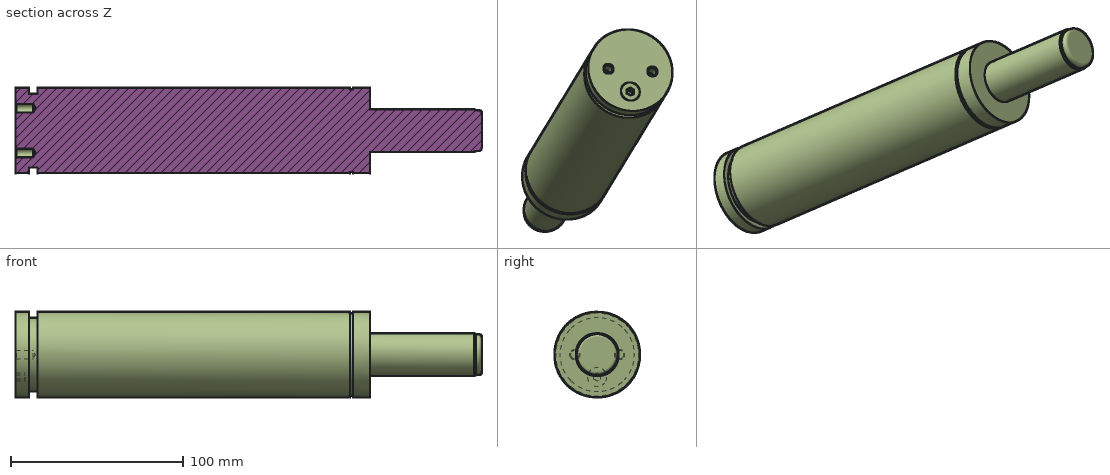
import cadquery as cq
import math

total_length = 271.2
base_flange_length = 8.0
base_groove_end = 12.7
collar_groove_start = 194.5
collar_groove_end = 196.0
body_length = 206.0
rod_shoulder = 267.7
shoulder_chamfer_length = 1.0

body_diameter = 50.0
base_groove_diameter = 43.0
collar_groove_depth = 0.8
rod_diameter = 25.0
rod_tip_diameter = 24.0
rod_tip_fillet = 2.0

mount_hole_spacing = 26.0
mount_hole_diameter = 5.0
mount_hole_mouth_diameter = 6.0
mount_hole_depth = 10.0
drill_point_angle = 118.0
port_offset = 13.0
port_recess_diameter = 11.0
port_recess_depth = 0.3
socket_width = 4.0
socket_depth = 5.5


def cylinder(start, end, diameter, y=0, z=0):
    """Cylinder parallel to X between two X positions."""
    return cq.Workplane("YZ", origin=(start, y, z)).circle(diameter / 2).extrude(end - start)


def groove(start, end, floor_diameter):
    """Ring that cuts a groove into the body."""
    return cylinder(start, end, body_diameter).cut(cylinder(start, end, floor_diameter))


def body():
    """Cylinder tube with the base groove and the narrow collar groove."""
    collar_groove_diameter = body_diameter - 2 * collar_groove_depth
    tube = cylinder(0, body_length, body_diameter)
    tube = tube.cut(groove(base_flange_length, base_groove_end, base_groove_diameter))
    return tube.cut(groove(collar_groove_start, collar_groove_end, collar_groove_diameter))


def cone(start, end, start_diameter, end_diameter, y=0):
    """Truncated cone parallel to X between two X positions."""
    return cq.Workplane(cq.Solid.makeCone(
        start_diameter / 2,
        end_diameter / 2,
        end - start,
        pnt=cq.Vector(start, y, 0),
        dir=cq.Vector(1, 0, 0),
    ))


def rod():
    """Piston rod with a bevelled shoulder and a smaller, rounded tip."""
    bevel_start = rod_shoulder - shoulder_chamfer_length
    shank = cylinder(0, bevel_start, rod_diameter)
    bevel = cone(bevel_start, rod_shoulder, rod_diameter, rod_tip_diameter)
    tip = cylinder(bevel_start, total_length, rod_tip_diameter)
    tip = tip.faces(">X").edges().fillet(rod_tip_fillet)
    return shank.union(bevel).union(tip)


def mount_hole(y):
    """Blind hole with a 45 degree lead-in at its mouth and a drill-point bottom."""
    lead_in = (mount_hole_mouth_diameter - mount_hole_diameter) / 2
    mouth = cone(0, lead_in, mount_hole_mouth_diameter, mount_hole_diameter, y)
    bore = cylinder(lead_in, mount_hole_depth, mount_hole_diameter, y)
    point_length = mount_hole_diameter / 2 / math.tan(math.radians(drill_point_angle / 2))
    point = cone(mount_hole_depth, mount_hole_depth + point_length, mount_hole_diameter, 0, y)
    return mouth.union(bore).union(point)


def port():
    """Shallow round recess of a plug with a blind hexagon socket, one corner pointing up."""
    recess = cylinder(0, port_recess_depth, port_recess_diameter, z=-port_offset)
    corner_diameter = socket_width / math.cos(math.radians(30))
    socket = cq.Workplane("YZ").polygon(6, corner_diameter).extrude(socket_depth)
    socket = socket.rotate((0, 0, 0), (1, 0, 0), 90).translate((0, 0, -port_offset))
    return recess.union(socket)


result = body().union(rod()).cut(port())
for side in (-1, 1):
    result = result.cut(mount_hole(side * mount_hole_spacing / 2))